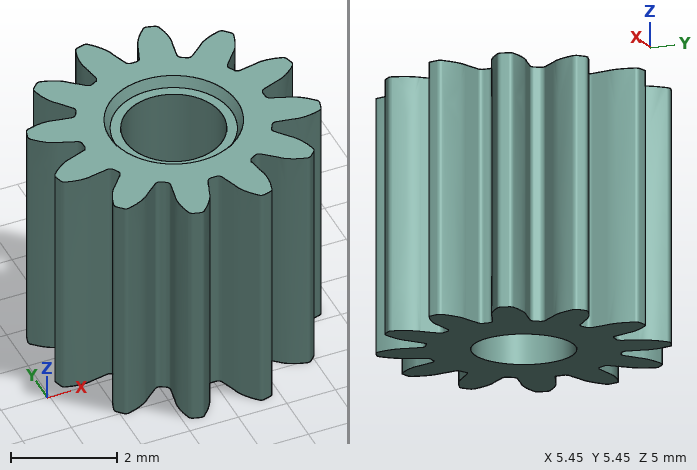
import cadquery as cq
import math

MODULE = 0.4
TOOTH_COUNT = 12
PRESSURE_ANGLE = math.radians(20)
FACE_WIDTH = 5.0
TIP_RADIUS = 2.8
ROOT_RADIUS = 1.86
ROOT_HALF_ANGLE = math.radians(11.3)
CORNER_FILLET = 0.1

BORE_DIAMETER = 2.0
RECESS_TOP_DIAMETER = 2.63
RECESS_FLOOR_DIAMETER = 2.4
RECESS_DEPTH = 0.2

PITCH_RADIUS = MODULE * TOOTH_COUNT / 2
BASE_RADIUS = PITCH_RADIUS * math.cos(PRESSURE_ANGLE)
TOOTH_PITCH = 2 * math.pi / TOOTH_COUNT
FLANK_STEPS = 6
RADIUS_TOLERANCE = 1e-4


def polar(radius, angle):
    return (radius * math.cos(angle), radius * math.sin(angle))


def involute_roll(radius):
    """Polar angle swept by the involute from the base circle out to a radius."""
    pressure = math.acos(min(1.0, BASE_RADIUS / radius))
    return math.tan(pressure) - pressure


def tooth_half_angle(radius):
    """Half the angle of one tooth on its involute part; a quarter pitch at the pitch circle."""
    return TOOTH_PITCH / 4 + involute_roll(PITCH_RADIUS) - involute_roll(radius)


def rising_flank(center):
    """Involute points from the base circle to the tip circle, on the clockwise side of a tooth."""
    step = (TIP_RADIUS - BASE_RADIUS) / FLANK_STEPS
    radii = [BASE_RADIUS + i * step for i in range(FLANK_STEPS + 1)]
    return [polar(r, center - tooth_half_angle(r)) for r in radii]


def falling_flank(center):
    """Involute points from the tip circle to the base circle, on the counterclockwise side."""
    step = (TIP_RADIUS - BASE_RADIUS) / FLANK_STEPS
    radii = [TIP_RADIUS - i * step for i in range(FLANK_STEPS + 1)]
    return [polar(r, center + tooth_half_angle(r)) for r in radii]


def add_tooth(outline, center):
    """Add one tooth and the root arc after it; straight flanks below the base circle."""
    rising = rising_flank(center)
    falling = falling_flank(center)
    next_root = center + TOOTH_PITCH - ROOT_HALF_ANGLE
    return (
        outline.lineTo(*rising[0])
        .spline(rising[1:], includeCurrent=True)
        .threePointArc(polar(TIP_RADIUS, center), falling[0])
        .spline(falling[1:], includeCurrent=True)
        .lineTo(*polar(ROOT_RADIUS, center + ROOT_HALF_ANGLE))
        .threePointArc(polar(ROOT_RADIUS, center + TOOTH_PITCH / 2), polar(ROOT_RADIUS, next_root))
    )


def is_tooth_corner(edge):
    """True for lengthwise edges on the tip or root circle."""
    position = edge.Center()
    radius = math.hypot(position.x, position.y)
    on_tip = abs(radius - TIP_RADIUS) < RADIUS_TOLERANCE
    on_root = abs(radius - ROOT_RADIUS) < RADIUS_TOLERANCE
    return on_tip or on_root


def toothed_body():
    first_center = TOOTH_PITCH / 2
    outline = cq.Workplane("XY").moveTo(*polar(ROOT_RADIUS, first_center - ROOT_HALF_ANGLE))
    for index in range(TOOTH_COUNT):
        outline = add_tooth(outline, first_center + index * TOOTH_PITCH)
    body = outline.close().extrude(FACE_WIDTH)
    corners = body.edges("|Z").filter(is_tooth_corner)
    return corners.fillet(CORNER_FILLET)


def hole_cutter():
    """Through bore and tapered recess as one revolved shape."""
    bore_radius = BORE_DIAMETER / 2
    floor_height = FACE_WIDTH - RECESS_DEPTH
    half_profile = [
        (0, 0),
        (bore_radius, 0),
        (bore_radius, floor_height),
        (RECESS_FLOOR_DIAMETER / 2, floor_height),
        (RECESS_TOP_DIAMETER / 2, FACE_WIDTH),
        (0, FACE_WIDTH),
    ]
    return cq.Workplane("XZ").polyline(half_profile).close().revolve(360, (0, 0), (0, 1))


result = toothed_body().cut(hole_cutter())